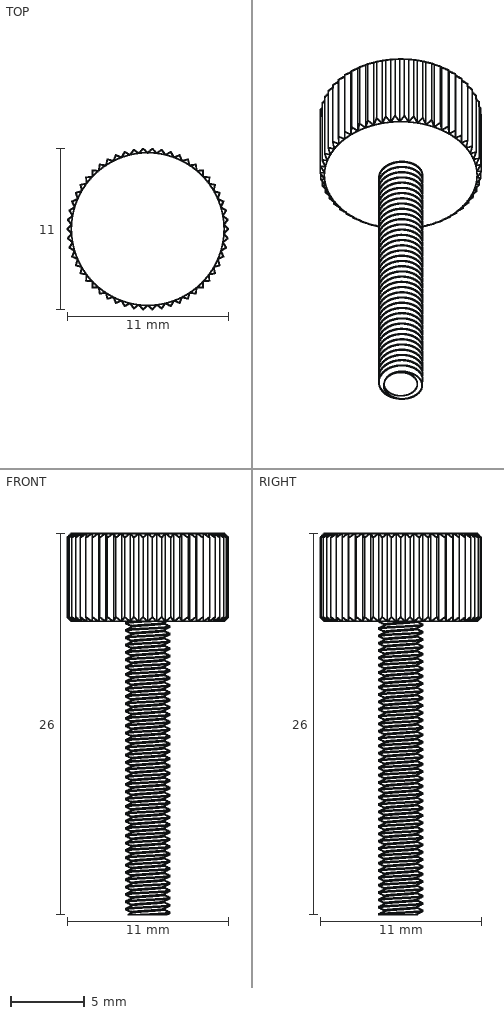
import cadquery as cq
import math

TOTAL_LENGTH = 26.0
KNOB_HEIGHT = 6.0
SHANK_LENGTH = TOTAL_LENGTH - KNOB_HEIGHT

KNOB_CREST_RADIUS = 11.0 / 2
KNOB_ROOT_RADIUS = 10.4 / 2
KNOB_CHAMFER = KNOB_CREST_RADIUS - KNOB_ROOT_RADIUS
KNURL_COUNT = 54

CORE_RADIUS = 2.25 / 2
THREAD_CREST_RADIUS = 3.0 / 2
THREAD_TURNS = 40
THREAD_PITCH = SHANK_LENGTH / THREAD_TURNS
THREAD_ROOT_WIDTH = 0.42
THREAD_CREST_WIDTH = THREAD_PITCH / 8
LOWEST_CREST_HEIGHT = 0.14


def polar_point(radius, angle):
    return (radius * math.cos(angle), radius * math.sin(angle))


def make_knurled_knob():
    """Knurled disc with both rims chamfered; one crest lies on the +X axis."""
    tooth_angle = 2 * math.pi / KNURL_COUNT
    outline = []
    for tooth in range(KNURL_COUNT):
        crest_angle = tooth * tooth_angle
        outline.append(polar_point(KNOB_CREST_RADIUS, crest_angle))
        outline.append(polar_point(KNOB_ROOT_RADIUS, crest_angle + tooth_angle / 2))
    knob_base = cq.Workplane("XY").workplane(offset=SHANK_LENGTH)
    knurled_disc = knob_base.polyline(outline).close().extrude(KNOB_HEIGHT)
    chamfered_disc = (
        knob_base.circle(KNOB_CREST_RADIUS).extrude(KNOB_HEIGHT).edges("%CIRCLE").chamfer(KNOB_CHAMFER)
    )
    return knurled_disc.intersect(chamfered_disc)


def make_core():
    """Plain cylindrical shank under the knob."""
    return cq.Workplane("XY").circle(CORE_RADIUS).extrude(SHANK_LENGTH)


def one_turn_helix(radius, height):
    """Edge of a single helical turn, starting on the +X side at the given height."""
    helix = cq.Wire.makeHelix(THREAD_PITCH, THREAD_PITCH, radius)
    return helix.translate(cq.Vector(0, 0, height)).Edges()[0]


def make_thread():
    """Helical ridge around the core, trimmed flat at the shank end and under the knob."""
    profile = [
        (CORE_RADIUS, -THREAD_ROOT_WIDTH / 2),
        (THREAD_CREST_RADIUS, -THREAD_CREST_WIDTH / 2),
        (THREAD_CREST_RADIUS, THREAD_CREST_WIDTH / 2),
        (CORE_RADIUS, THREAD_ROOT_WIDTH / 2),
    ]

    ridge_start = LOWEST_CREST_HEIGHT - THREAD_PITCH
    ridge_turns = THREAD_TURNS + 2
    faces = []
    for turn in range(ridge_turns):
        turn_start = ridge_start + turn * THREAD_PITCH
        corners = [one_turn_helix(radius, turn_start + offset) for radius, offset in profile]
        for corner, next_corner in zip(corners, corners[1:] + corners[:1]):
            faces.append(cq.Face.makeRuledSurface(corner, next_corner))

    for end_height in (ridge_start, ridge_start + ridge_turns * THREAD_PITCH):
        end_points = [cq.Vector(radius, 0, end_height + offset) for radius, offset in profile]
        faces.append(cq.Face.makeFromWires(cq.Wire.makePolygon(end_points, close=True)))

    ridge = cq.Solid.makeSolid(cq.Shell.makeShell(faces)).fix()
    shank_space = cq.Workplane("XY").circle(2 * THREAD_CREST_RADIUS).extrude(SHANK_LENGTH)
    return cq.Workplane(obj=ridge).intersect(shank_space, clean=False).solids()


knob_with_core = make_knurled_knob().union(make_core()).solids()
thread = make_thread()

result = cq.Compound.makeCompound([knob_with_core.val(), thread.val()])